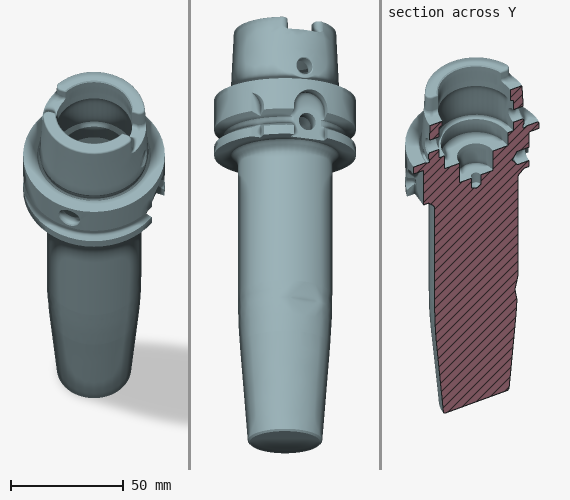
import cadquery as cq
import math


shank_height = 31.9
gauge_height = 6.3
gauge_radius = 24.0
taper_slope = 1 / 20
rim_round = 0.8

relief_height = 2.4
relief_radius = 23.7
relief_depth = 0.6
relief_outer_radius = 25.3

flange_radius = 31.5
flange_height = 26.0
groove_z = -18.0
groove_root_radius = 27.3
groove_root_width = 2.8
groove_half_angle = 30.0

neck_top_radius = 24.0
neck_blend_radius = 3.6
neck_cone_angle = 45.0
body_radius = 21.0
nose_angle = 4.5
nose_z = -160.0
nose_radius = 16.5
nose_chamfer = 0.8
nose_cone_top_z = -114.5

bore_radius = 17.0
bore_chamfer = 0.5
clamp_shoulder_z = 19.3
clamp_undercut_radius = 18.5
clamp_shoulder_angle = 30.0
cavity_floor_z = 0.0
recess_radius = 15.7
recess_floor_z = -8.0
tube_hole_radius = 8.4
tube_hole_floor_z = -20.0
coolant_hole_radius = 2.2
coolant_hole_depth = 6.0

keyway_width = 12.54
keyway_end_radius = 2.5
keyway_floor_radius = 1.6
shallow_keyway_depth = 5.9
deep_keyway_depth = 9.9

cross_hole_z = 9.0
cross_hole_radius = 3.75
cross_hole_chamfer = 0.6

slot_width = 16.0
slot_arch_z = -12.6
drive_slot_floor = 26.5
side_notch_floor = 20.2
side_notch_y = 27.9

slot_hole_radius = 4.0
slot_hole_z = -18.0
slot_hole_depth = 6.0
chip_hole_radius = 5.0
chip_hole_z = -7.2
chip_hole_depth = 4.6
chip_hole_chamfer = 0.5
center_mark_radius = 0.6
center_mark_depth = 0.6
drill_point_angle = 118.0


def taper_radius(z):
    """Outer radius of the taper shank at height z."""
    return gauge_radius + (gauge_height - z) * taper_slope


def drill_point_length(radius):
    """Length of the conical point left by a drill of this radius."""
    return radius / math.tan(math.radians(drill_point_angle / 2))


def outer_body():
    """Solid of revolution: shank, flange, neck and nose."""
    groove_depth = flange_radius - groove_root_radius
    root_half = groove_root_width / 2
    mouth_half = root_half + groove_depth * math.tan(math.radians(groove_half_angle))

    neck_angle = math.radians(neck_cone_angle)
    neck_corner_z = -flange_height - (neck_top_radius - body_radius) / math.tan(neck_angle)
    tangent_length = neck_blend_radius * math.tan(neck_angle / 2)
    blend_start = (
        body_radius + tangent_length * math.sin(neck_angle),
        neck_corner_z + tangent_length * math.cos(neck_angle),
    )
    blend_end = (body_radius, neck_corner_z - tangent_length)
    blend_mid = (
        body_radius + neck_blend_radius * (1 - math.cos(neck_angle / 2)),
        neck_corner_z - tangent_length + neck_blend_radius * math.sin(neck_angle / 2),
    )

    nose_slope = math.tan(math.radians(nose_angle))
    cone_top_radius = nose_radius + (nose_cone_top_z - nose_z) * nose_slope
    arc_radius = (body_radius - cone_top_radius) / (1 - math.cos(math.radians(nose_angle)))
    arc_top_z = nose_cone_top_z + arc_radius * math.sin(math.radians(nose_angle))
    half_angle = math.radians(nose_angle / 2)
    arc_mid = (
        body_radius - arc_radius * (1 - math.cos(half_angle)),
        arc_top_z - arc_radius * math.sin(half_angle),
    )

    profile = (
        cq.Workplane("XZ")
        .moveTo(0, shank_height)
        .lineTo(taper_radius(shank_height), shank_height)
        .lineTo(taper_radius(relief_height), relief_height)
        .lineTo(relief_radius, relief_height / 2)
        .lineTo(relief_radius, -relief_depth)
        .lineTo(relief_outer_radius - relief_depth, -relief_depth)
        .lineTo(relief_outer_radius, 0)
        .lineTo(flange_radius, 0)
        .lineTo(flange_radius, groove_z + mouth_half)
        .lineTo(groove_root_radius, groove_z + root_half)
        .lineTo(groove_root_radius, groove_z - root_half)
        .lineTo(flange_radius, groove_z - mouth_half)
        .lineTo(flange_radius, -flange_height)
        .lineTo(neck_top_radius, -flange_height)
        .lineTo(*blend_start)
        .threePointArc(blend_mid, blend_end)
        .lineTo(body_radius, arc_top_z)
        .threePointArc(arc_mid, (cone_top_radius, nose_cone_top_z))
        .lineTo(nose_radius + nose_chamfer * nose_slope, nose_z + nose_chamfer)
        .lineTo(nose_radius - nose_chamfer, nose_z)
        .lineTo(0, nose_z)
        .close()
    )
    return profile.revolve(360, (0, 0, 0), (0, 1, 0))


def cavity():
    """Solid of revolution removed from inside the shank."""
    shoulder_run = clamp_undercut_radius - bore_radius
    undercut_top_z = clamp_shoulder_z - shoulder_run * math.tan(math.radians(clamp_shoulder_angle))
    coolant_floor_z = tube_hole_floor_z - coolant_hole_depth
    coolant_tip_z = coolant_floor_z - drill_point_length(coolant_hole_radius)
    profile = (
        cq.Workplane("XZ")
        .moveTo(0, shank_height)
        .lineTo(bore_radius + bore_chamfer, shank_height)
        .lineTo(bore_radius, shank_height - bore_chamfer)
        .lineTo(bore_radius, clamp_shoulder_z)
        .lineTo(clamp_undercut_radius, undercut_top_z)
        .lineTo(clamp_undercut_radius, cavity_floor_z)
        .lineTo(recess_radius, cavity_floor_z)
        .lineTo(recess_radius, recess_floor_z)
        .lineTo(tube_hole_radius, recess_floor_z)
        .lineTo(tube_hole_radius, tube_hole_floor_z)
        .lineTo(coolant_hole_radius, tube_hole_floor_z)
        .lineTo(coolant_hole_radius, coolant_floor_z)
        .lineTo(0, coolant_tip_z)
        .close()
    )
    return profile.revolve(360, (0, 0, 0), (0, 1, 0))


def cut_keyway(body, side, depth):
    """Cut one rim keyway on the given X side (-1 or 1) and round its ends and floor."""
    floor_z = shank_height - depth
    keyway = cq.Workplane("XY").box(
        flange_radius, keyway_width, depth, centered=(True, True, False)
    )
    body = body.cut(keyway.translate((side * flange_radius / 2, 0, floor_z)))

    half = keyway_width / 2
    mid_z = floor_z + depth / 2
    corner_x = math.sqrt(taper_radius(mid_z) ** 2 - half**2)
    for y in (-half, half):
        corner = cq.selectors.NearestToPointSelector((side * corner_x, y, mid_z))
        body = body.edges(corner).fillet(keyway_end_radius)

    wall_mid_x = (bore_radius + corner_x - keyway_end_radius) / 2
    for y in (-half, half):
        floor_edge = cq.selectors.NearestToPointSelector((side * wall_mid_x, y, floor_z))
        body = body.edges(floor_edge).fillet(keyway_floor_radius)
    return body


def round_rim(body):
    """Round the outer edge of the two rim lands."""
    for y in (-taper_radius(shank_height), taper_radius(shank_height)):
        rim_edge = cq.selectors.NearestToPointSelector((0, y, shank_height))
        body = body.edges(rim_edge).fillet(rim_round)
    return body


def countersink(hole_radius, chamfer, mouth, outward):
    """45 degree cone that chamfers a hole mouth and runs on past the surface."""
    axis = cq.Vector(*outward)
    start = cq.Vector(*mouth) - axis * chamfer
    cone = cq.Solid.makeCone(hole_radius, hole_radius + 2 * chamfer, 2 * chamfer, start, axis)
    return cq.Workplane(cone)


def cross_hole():
    """Hole along X through both shank walls, with chamfered mouths."""
    hole = cq.Workplane("YZ").center(0, cross_hole_z).circle(cross_hole_radius)
    hole = hole.extrude(flange_radius, both=True)
    mouth_x = taper_radius(cross_hole_z)
    for side in (-1, 1):
        mouth = (side * mouth_x, 0, cross_hole_z)
        hole = hole.union(countersink(cross_hole_radius, cross_hole_chamfer, mouth, (side, 0, 0)))
    return hole


def arched_slot(side, floor_distance, center_y):
    """Round-topped slot cut along X from the given side down to a flat floor."""
    half = slot_width / 2
    length = flange_radius - floor_distance
    slot = (
        cq.Workplane("YZ", origin=(side * floor_distance, center_y, slot_arch_z))
        .moveTo(-half, -flange_height - slot_arch_z)
        .lineTo(-half, 0)
        .threePointArc((0, half), (half, 0))
        .lineTo(half, -flange_height - slot_arch_z)
        .close()
    )
    return slot.extrude(side * length)


def drilled_hole(radius, depth, mouth, direction):
    """Blind hole with a conical drill point."""
    axis = cq.Vector(*direction)
    start = cq.Vector(*mouth)
    shaft = cq.Solid.makeCylinder(radius, depth, start, axis)
    tip = cq.Solid.makeCone(radius, 0, drill_point_length(radius), start + axis * depth, axis)
    return cq.Workplane(shaft).union(cq.Workplane(tip))


def chip_hole():
    """Flat-bottomed data chip hole with a chamfered mouth and a small centre mark."""
    mouth = (0, -flange_radius, chip_hole_z)
    floor_y = chip_hole_depth - flange_radius
    hole = cq.Solid.makeCylinder(
        chip_hole_radius,
        chip_hole_depth,
        cq.Vector(*mouth),
        cq.Vector(0, 1, 0),
    )
    mark = drilled_hole(center_mark_radius, center_mark_depth, (0, floor_y, chip_hole_z), (0, 1, 0))
    chamfer = countersink(chip_hole_radius, chip_hole_chamfer, mouth, (0, -1, 0))
    return cq.Workplane(hole).union(mark).union(chamfer)


body = outer_body().cut(cavity())
body = cut_keyway(body, -1, shallow_keyway_depth)
body = cut_keyway(body, 1, deep_keyway_depth)
body = round_rim(body)
body = body.cut(cross_hole())
for side in (-1, 1):
    body = body.cut(arched_slot(side, drive_slot_floor, 0))
body = body.cut(arched_slot(-1, side_notch_floor, side_notch_y))
slot_hole_mouth = (-drive_slot_floor, 0, slot_hole_z)
body = body.cut(drilled_hole(slot_hole_radius, slot_hole_depth, slot_hole_mouth, (1, 0, 0)))
body = body.cut(chip_hole())

result = body